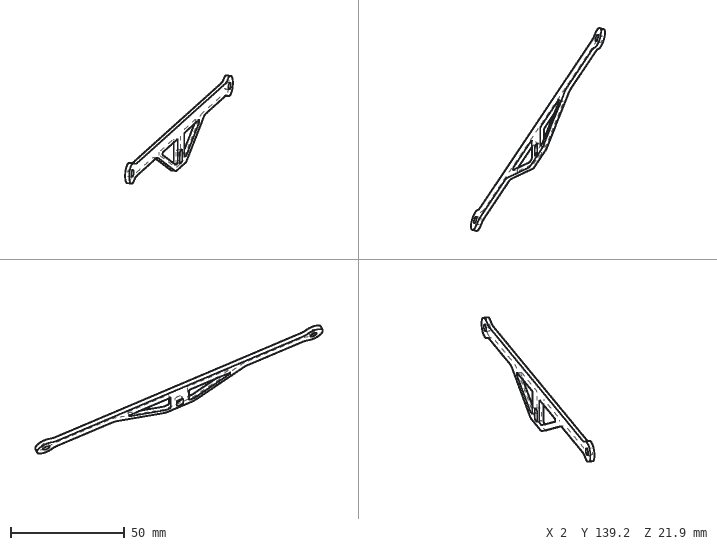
import cadquery as cq
import math

length = 139.2
thickness = 2.0
eye_radius = 4.6
eye_hole_diameter = 3.0
eye_neck_radius = 5.0
bar_height = 5.8

truss_bottom = -17.3
truss_foot_half_width = 7.0
brace_angle = math.radians(30)
brace_width = 2.6
foot_height = 3.0
truss_corner_radius = 5.0

post_width = 8.9
slot_width = 3.0
slot_bottom = -15.3
slot_top = -9.5
slot_corner_radius = 0.8
window_corner_radius = 0.7

eye_y = length / 2 - eye_radius
bar_bottom = -bar_height / 2
run_per_drop = 1 / math.tan(brace_angle)


def brace_outer_y(z):
    """Half width of the truss at height z."""
    return truss_foot_half_width + (z - truss_bottom) * run_per_drop


def brace_inner_y(z):
    """Distance of the inner edge of a brace from the centre at height z."""
    return brace_outer_y(z) - brace_width / math.sin(brace_angle)


def plate(points):
    """Plate with a polygonal outline given as (y, z) points."""
    return cq.Workplane("YZ").polyline(points).close().extrude(thickness)


def make_bar_and_truss():
    bar_top = bar_height / 2
    truss_top_y = brace_outer_y(bar_bottom)
    outline = plate([
        (-eye_y, bar_top),
        (eye_y, bar_top),
        (eye_y, bar_bottom),
        (truss_top_y, bar_bottom),
        (truss_foot_half_width, truss_bottom),
        (-truss_foot_half_width, truss_bottom),
        (-truss_top_y, bar_bottom),
        (-eye_y, bar_bottom),
    ])
    margin = thickness
    truss_corners = cq.selectors.BoxSelector(
        (-margin, -truss_top_y - margin, truss_bottom - margin),
        (thickness + margin, truss_top_y + margin, bar_bottom + margin),
    )
    return outline.edges("|X").edges(truss_corners).fillet(truss_corner_radius)


def make_eye(side):
    """Round eye with concave necks blending into the bar; side is 1 or -1."""
    half_bar = bar_height / 2
    center_z = half_bar + eye_neck_radius
    center_distance = eye_radius + eye_neck_radius
    neck_length = math.sqrt(center_distance**2 - center_z**2)
    tangent_y = neck_length * eye_radius / center_distance
    tangent_z = center_z * eye_radius / center_distance

    start_angle = math.atan2(-center_z, -neck_length)
    middle_angle = (start_angle - math.pi / 2) / 2
    middle_y = neck_length + eye_neck_radius * math.cos(middle_angle)
    middle_z = center_z + eye_neck_radius * math.sin(middle_angle)

    def point(inward, z):
        return (side * (eye_y - inward), z)

    return (
        cq.Workplane("YZ")
        .moveTo(*point(tangent_y, tangent_z))
        .threePointArc(point(middle_y, middle_z), point(neck_length, half_bar))
        .lineTo(*point(neck_length, -half_bar))
        .threePointArc(point(middle_y, -middle_z), point(tangent_y, -tangent_z))
        .threePointArc(point(-eye_radius, 0), point(tangent_y, tangent_z))
        .close()
        .extrude(thickness)
    )


def make_window(side):
    """Opening between the post, bar and brace; side is 1 or -1."""
    bottom = truss_bottom + foot_height
    post_y = post_width / 2
    window = plate([
        (side * post_y, bar_bottom),
        (side * brace_inner_y(bar_bottom), bar_bottom),
        (side * brace_inner_y(bottom), bottom),
        (side * post_y, bottom),
    ])
    return window.edges("|X").fillet(window_corner_radius)


def make_slot():
    return (
        cq.Workplane("YZ")
        .center(0, (slot_bottom + slot_top) / 2)
        .rect(slot_width, slot_top - slot_bottom)
        .extrude(thickness)
        .edges("|X")
        .fillet(slot_corner_radius)
    )


result = make_bar_and_truss().cut(make_slot())
for side in (-1, 1):
    eye_hole = cq.Workplane("YZ").center(side * eye_y, 0).circle(eye_hole_diameter / 2).extrude(thickness)
    result = result.union(make_eye(side)).cut(eye_hole).cut(make_window(side))